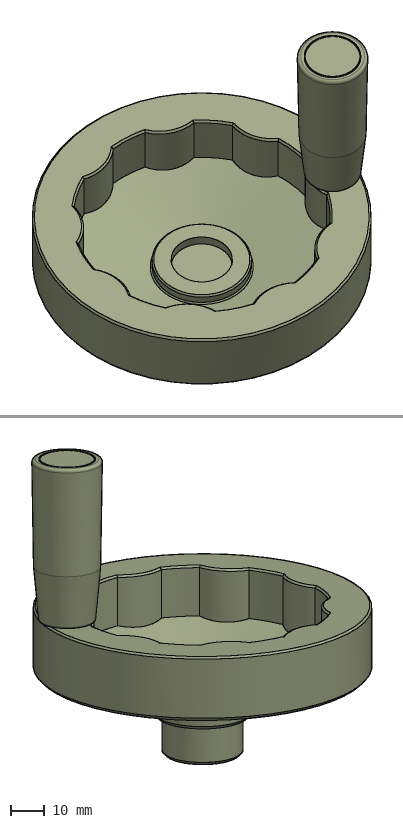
import cadquery as cq
import math


hub_bottom_z = 11.9
rim_bottom_z = 26.0
rim_height = 20.0
rim_top_z = rim_bottom_z + rim_height
handle_joint_z = 62.6
handle_top_z = 96.0

wheel_radius = 100.0 / 2
rim_top_chamfer = 0.6
rim_bottom_chamfer = 1.0
web_angle = math.radians(16)
web_outer_radius = 31.3
dish_radius = 37.9
dish_floor_z = 23.7

scallop_count = 9
scallop_radius = 14.0
scallop_offset = 49.0

hub_radius = 29.3 / 2
hub_chamfer = 1.0
hub_fillet = 7.0
boss_top_z = 27.0
boss_chamfer = 0.5
boss_base_flare = 0.5
stub_radius = 24.0 / 2
stub_chamfer = 1.0
bore_radius = 18.0 / 2
bore_depth = 3.0

handle_offset = 42.5
handle_top_radius = 20.9 / 2
handle_joint_radius = 19.9 / 2
handle_foot_radius = 16.8 / 2
handle_foot_fillet = 0.5
handle_top_fillet = 1.0
groove_outer_radius = 16.7 / 2
groove_width = 0.26
groove_depth = 0.3


def web_rise(inner_radius, outer_radius):
    """Height gained by the conical web between two radii."""
    return (outer_radius - inner_radius) * math.tan(web_angle)


def wheel_blank():
    """Rim, conical web, hub and shaft stub as one turned piece with a flat top."""
    fillet_center_r = hub_radius + hub_fillet
    fillet_top_r = fillet_center_r - hub_fillet * math.sin(web_angle)
    fillet_top_z = rim_bottom_z - web_rise(fillet_top_r, web_outer_radius)
    fillet_center_z = fillet_top_z - hub_fillet * math.cos(web_angle)
    mid_angle = (math.pi / 2 - web_angle) / 2
    fillet_middle = (
        fillet_center_r - hub_fillet * math.cos(mid_angle),
        fillet_center_z + hub_fillet * math.sin(mid_angle),
    )
    return (
        cq.Workplane("XZ")
        .moveTo(0, 0)
        .lineTo(stub_radius - stub_chamfer, 0)
        .lineTo(stub_radius, stub_chamfer)
        .lineTo(stub_radius, hub_bottom_z)
        .lineTo(hub_radius - hub_chamfer, hub_bottom_z)
        .lineTo(hub_radius, hub_bottom_z + hub_chamfer)
        .lineTo(hub_radius, fillet_center_z)
        .threePointArc(fillet_middle, (fillet_top_r, fillet_top_z))
        .lineTo(web_outer_radius, rim_bottom_z)
        .lineTo(wheel_radius - rim_bottom_chamfer, rim_bottom_z)
        .lineTo(wheel_radius, rim_bottom_z + rim_bottom_chamfer)
        .lineTo(wheel_radius, rim_top_z - rim_top_chamfer)
        .lineTo(wheel_radius - rim_top_chamfer, rim_top_z)
        .lineTo(0, rim_top_z)
        .close()
        .revolve()
    )


def dish_cutter():
    """Space inside the rim: a conical floor around the boss and a scalloped wall."""
    flare_radius = hub_radius + boss_base_flare
    flare_z = dish_floor_z + web_rise(hub_radius, flare_radius)
    dish_edge_z = dish_floor_z + web_rise(hub_radius, dish_radius)
    cutter = (
        cq.Workplane("XZ")
        .polyline([
            (0, boss_top_z),
            (hub_radius - boss_chamfer, boss_top_z),
            (hub_radius, boss_top_z - boss_chamfer),
            (hub_radius, dish_floor_z + boss_base_flare),
            (flare_radius, flare_z),
            (dish_radius, dish_edge_z),
            (dish_radius, rim_top_z - rim_top_chamfer),
            (dish_radius + rim_top_chamfer, rim_top_z),
            (0, rim_top_z),
        ])
        .close()
        .revolve()
    )
    scallops = (
        cq.Workplane("XY")
        .polarArray(scallop_offset, 90, 360, scallop_count)
        .circle(scallop_radius)
        .extrude(rim_top_z)
        .faces(">Z")
        .edges()
        .chamfer(rim_top_chamfer)
    )
    return cutter.cut(scallops)


def make_wheel():
    bore = (
        cq.Workplane("XY", origin=(0, 0, boss_top_z - bore_depth))
        .circle(bore_radius)
        .extrude(bore_depth)
    )
    return wheel_blank().cut(dish_cutter()).cut(bore)


def make_handle():
    """Tapered grip standing on the rim, with a fine ring groove in its top face."""
    grip = (
        cq.Workplane("XZ", origin=(0, handle_offset, 0))
        .polyline([
            (0, rim_top_z),
            (handle_foot_radius, rim_top_z),
            (handle_joint_radius, handle_joint_z),
            (handle_top_radius, handle_top_z),
            (0, handle_top_z),
        ])
        .close()
        .revolve()
        .faces(">Z")
        .edges()
        .fillet(handle_top_fillet)
        .faces("<Z")
        .edges()
        .fillet(handle_foot_fillet)
    )
    groove = (
        cq.Workplane("XY", origin=(0, handle_offset, handle_top_z - groove_depth))
        .circle(groove_outer_radius)
        .circle(groove_outer_radius - groove_width)
        .extrude(groove_depth)
    )
    return grip.cut(groove)


wheel = make_wheel()
handle = make_handle()
result = cq.Compound.makeCompound([wheel.val(), handle.val()])